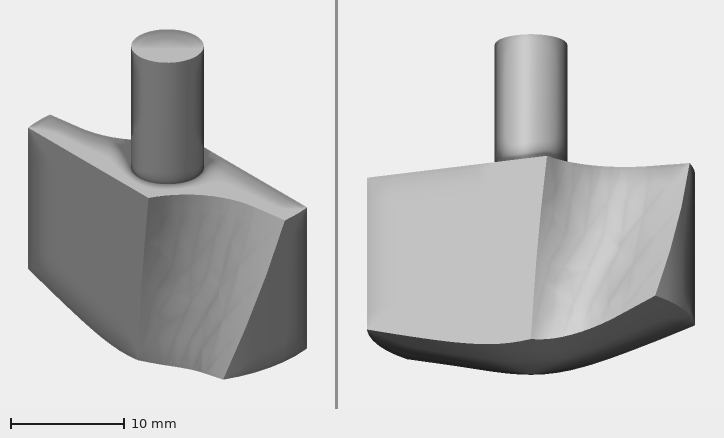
import cadquery as cq
import math

TOTAL_HEIGHT = 30.4
BODY_TOP = 18.33
RIM_HEIGHT = 4.32

BODY_RADIUS = 14.5
BODY_THICKNESS = 9.88
SHANK_DIAMETER = 6.4

LIP_INNER_X = 10.75
LIP_INNER_Y = 1.35
LIP_ANGLE = 8.0
GULLET_RADIUS = 8.75
FLUTE_OUTER_X = 18.25
TWIST_PER_UNIT = 1.842


def make_body():
    """Pointed cylinder cut down to a flat blade."""
    revolved = (
        cq.Workplane("XZ")
        .moveTo(0, 0)
        .lineTo(BODY_RADIUS, RIM_HEIGHT)
        .lineTo(BODY_RADIUS, BODY_TOP)
        .lineTo(0, BODY_TOP)
        .close()
        .revolve(360, (0, 0), (0, 1))
    )
    slab = cq.Workplane("XY").box(
        2 * BODY_RADIUS, BODY_THICKNESS, BODY_TOP, centered=(True, True, False)
    )
    return revolved.intersect(slab)


def make_flute():
    """Helical cutter for one side, twisting upward to its section at the body top."""
    lip = math.radians(LIP_ANGLE)
    center_x = LIP_INNER_X + GULLET_RADIUS * math.sin(lip)
    center_y = LIP_INNER_Y - GULLET_RADIUS * math.cos(lip)
    lip_outer_y = LIP_INNER_Y + (FLUTE_OUTER_X - LIP_INNER_X) * math.tan(lip)

    arc_middle = math.radians((90 + LIP_ANGLE + 180) / 2)
    gullet_middle = (
        center_x + GULLET_RADIUS * math.cos(arc_middle),
        center_y + GULLET_RADIUS * math.sin(arc_middle),
    )
    gullet_end = (center_x - GULLET_RADIUS, center_y)

    total_twist = TWIST_PER_UNIT * BODY_TOP
    return (
        cq.Workplane("XY")
        .moveTo(FLUTE_OUTER_X, lip_outer_y)
        .lineTo(LIP_INNER_X, LIP_INNER_Y)
        .threePointArc(gullet_middle, gullet_end)
        .lineTo(FLUTE_OUTER_X, center_y)
        .close()
        .twistExtrude(BODY_TOP, total_twist)
        .rotate((0, 0, 0), (0, 0, 1), -total_twist)
    )


def make_shank():
    """Round shank standing on the body top."""
    return (
        cq.Workplane("XY")
        .workplane(offset=BODY_TOP)
        .circle(SHANK_DIAMETER / 2)
        .extrude(TOTAL_HEIGHT - BODY_TOP)
    )


result = make_body()
flute = make_flute()
for angle in (0, 180):
    result = result.cut(flute.rotate((0, 0, 0), (0, 0, 1), angle))
result = result.union(make_shank())